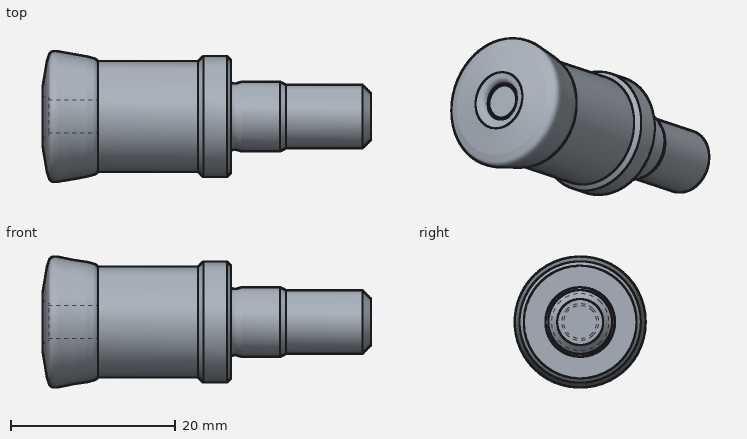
import cadquery as cq
import math

LENGTH = 40.0

CAP_RADIUS = 7.98
CAP_LENGTH = 6.75
RIM_CENTER_X = 1.5
FACE_RADIUS = 3.5
FACE_EDGE_X = 0.54
FACE_EDGE_RADIUS = 6.7
RIM_START_X = 0.78
RIM_START_RADIUS = 7.45
RIM_END_X = 2.1
RIM_END_RADIUS = 7.9
FLARE_END_X = 5.5
FLARE_END_RADIUS = 7.3
TAIL_X = 6.22
TAIL_RADIUS = 7.1
DIMPLE_LIP_RADIUS = 2.95
DIMPLE_LIP_DEPTH = 0.1
DIMPLE_RADIUS = 2.25
DIMPLE_DEPTH = 0.8

STEM_RADIUS = 2.0
SLEEVE_RADIUS = 13.5 / 2
FLANGE_RADIUS = 14.75 / 2
FLANGE_START = 18.95
FLANGE_END = 22.95
FLANGE_CHAMFER = 0.5
COLLAR_RADIUS = 8.5 / 2
COLLAR_START = 24.2
COLLAR_END = 28.9
GROOVE_RADIUS = 4.05
GROOVE_FILLET_RADIUS = 4.15
GROOVE_END = 23.55
SPINDLE_RADIUS = 7.75 / 2
SPINDLE_START = 29.65
TIP_CHAMFER = 1.1

RIM_BULGE = 0.15
RIM_TOP_BULGE = 0.025
TAIL_BULGE = 0.06
DIMPLE_BULGE = 0.2
GROOVE_BULGE = -0.05


def revolve_about_x(profile):
    """Turn a closed (x, radius) profile around the X axis."""
    return profile.close().revolve(360, (0, 0, 0), (1, 0, 0))


def bulge_point(start, end, bulge):
    """Point off the middle of a chord, to the left of its direction when bulge is positive."""
    dx = end[0] - start[0]
    dy = end[1] - start[1]
    chord = math.hypot(dx, dy)
    middle_x = (start[0] + end[0]) / 2
    middle_y = (start[1] + end[1]) / 2
    return (middle_x - bulge * dy / chord, middle_y + bulge * dx / chord)


def make_cap():
    rim_start = (RIM_START_X, RIM_START_RADIUS)
    rim_top = (RIM_CENTER_X, CAP_RADIUS)
    rim_end = (RIM_END_X, RIM_END_RADIUS)
    tail = (TAIL_X, TAIL_RADIUS)
    back = (CAP_LENGTH, SLEEVE_RADIUS)
    lip = (DIMPLE_LIP_DEPTH, DIMPLE_LIP_RADIUS)
    dimple_edge = (DIMPLE_DEPTH, DIMPLE_RADIUS)
    profile = (
        cq.Workplane("XY")
        .moveTo(DIMPLE_DEPTH, STEM_RADIUS)
        .lineTo(*dimple_edge)
        .threePointArc(bulge_point(dimple_edge, lip, DIMPLE_BULGE), lip)
        .lineTo(0, FACE_RADIUS)
        .lineTo(FACE_EDGE_X, FACE_EDGE_RADIUS)
        .lineTo(*rim_start)
        .threePointArc(bulge_point(rim_start, rim_top, RIM_BULGE), rim_top)
        .threePointArc(bulge_point(rim_top, rim_end, RIM_TOP_BULGE), rim_end)
        .lineTo(FLARE_END_X, FLARE_END_RADIUS)
        .lineTo(*tail)
        .threePointArc(bulge_point(tail, back, TAIL_BULGE), back)
        .lineTo(CAP_LENGTH, STEM_RADIUS)
    )
    return revolve_about_x(profile)


def make_body():
    front_chamfer = FLANGE_RADIUS - SLEEVE_RADIUS
    groove_start = (FLANGE_END, GROOVE_FILLET_RADIUS)
    groove_end = (GROOVE_END, GROOVE_RADIUS)
    profile = (
        cq.Workplane("XY")
        .moveTo(DIMPLE_DEPTH, 0)
        .lineTo(DIMPLE_DEPTH, STEM_RADIUS)
        .lineTo(CAP_LENGTH, STEM_RADIUS)
        .lineTo(CAP_LENGTH, SLEEVE_RADIUS)
        .lineTo(FLANGE_START, SLEEVE_RADIUS)
        .lineTo(FLANGE_START + front_chamfer, FLANGE_RADIUS)
        .lineTo(FLANGE_END - FLANGE_CHAMFER, FLANGE_RADIUS)
        .lineTo(FLANGE_END, FLANGE_RADIUS - FLANGE_CHAMFER)
        .lineTo(*groove_start)
        .threePointArc(bulge_point(groove_start, groove_end, GROOVE_BULGE), groove_end)
        .lineTo(COLLAR_START, COLLAR_RADIUS)
        .lineTo(COLLAR_END, COLLAR_RADIUS)
        .lineTo(SPINDLE_START, SPINDLE_RADIUS)
        .lineTo(LENGTH - TIP_CHAMFER, SPINDLE_RADIUS)
        .lineTo(LENGTH, SPINDLE_RADIUS - TIP_CHAMFER)
        .lineTo(LENGTH, 0)
    )
    return revolve_about_x(profile)


cap = make_cap()
body = make_body()
result = cq.Compound.makeCompound([cap.val(), body.val()])